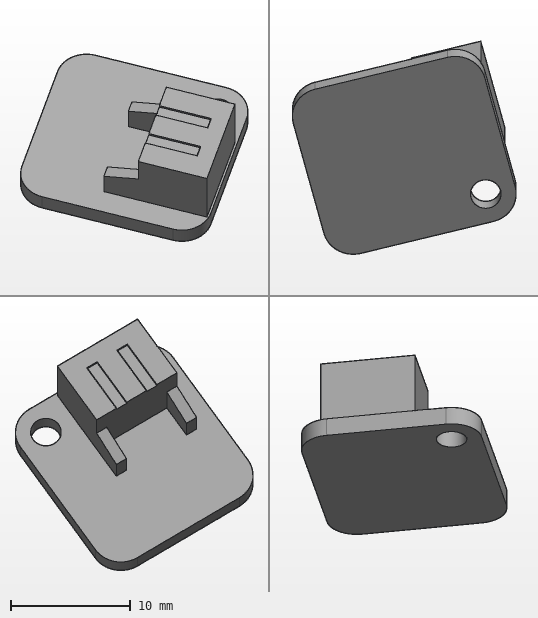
import cadquery as cq

board_length = 16.51
board_width = 15.24
board_thickness = 1.6
corner_radius = 2.55
hole_diameter = 2.55

total_height = 7.1
housing_length = 6.0
housing_width = 8.0
housing_gap_x = 0.2
housing_gap_y = 2.01
housing_height = total_height - board_thickness

arm_length = 3.0
arm_thickness = 1.0
arm_tip_height = 2.18
arm_root_height = 3.0

slot_length = 4.5
slot_width = 1.0
slot_depth = 0.2
slot_pitch = 3.0

housing_right = board_length / 2 - housing_gap_x
housing_left = housing_right - housing_length
housing_front = -board_width / 2 + housing_gap_y
housing_back = housing_front + housing_width
housing_middle = (housing_front + housing_back) / 2


def make_board():
    """Rounded plate with a hole concentric with its +X +Y corner."""
    plate = cq.Workplane("XY").box(
        board_length, board_width, board_thickness, centered=(True, True, False)
    )
    plate = plate.edges("|Z").fillet(corner_radius)
    hole_x = board_length / 2 - corner_radius
    hole_y = board_width / 2 - corner_radius
    return plate.faces(">Z").workplane().center(hole_x, hole_y).hole(hole_diameter)


def make_housing():
    """Plain block standing on the board."""
    block = cq.Workplane("XY").box(
        housing_length, housing_width, housing_height, centered=False
    )
    return block.translate((housing_left, housing_front, board_thickness))


def make_arm(front_y):
    """Arm with a sloping top, its -Y face at front_y."""
    tip_x = housing_left - arm_length
    profile = [
        (tip_x, board_thickness),
        (housing_left, board_thickness),
        (housing_left, board_thickness + arm_root_height),
        (tip_x, board_thickness + arm_tip_height),
    ]
    arm = cq.Workplane("XZ").polyline(profile).close().extrude(-arm_thickness)
    return arm.translate((0, front_y, 0))


def make_slot(center_y):
    """Cutter for one contact slot centred on center_y."""
    cutter = cq.Workplane("XY").box(
        slot_length, slot_width, slot_depth, centered=(False, True, False)
    )
    return cutter.translate((housing_left, center_y, total_height - slot_depth))


result = make_board().union(make_housing())

for arm_front in (housing_front, housing_back - arm_thickness):
    result = result.union(make_arm(arm_front))

for side in (-1, 1):
    result = result.cut(make_slot(housing_middle + side * slot_pitch / 2))